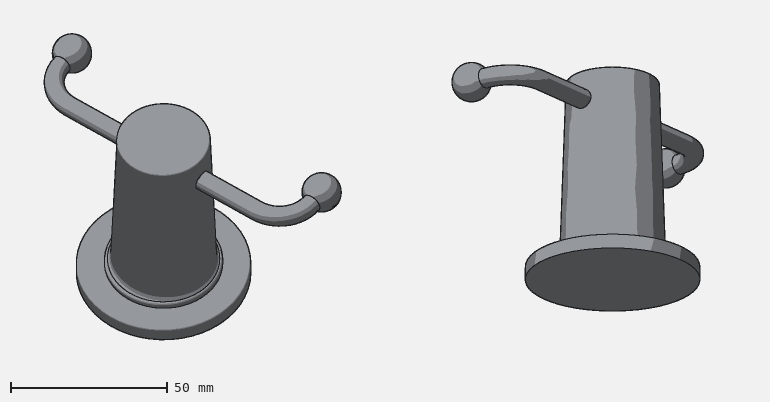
import cadquery as cq
import math

base_radius = 28.0
base_height = 5.0
edge_round = 0.8

collar_radius = 19.0
collar_wall_top = 6.0
collar_round = 1.0
collar_shoulder_radius = collar_radius - collar_round
collar_top = collar_wall_top + collar_round

post_bottom_radius = 17.0
post_bottom = 9.1
post_top_radius = 15.0
total_height = 67.5

overall_width = 111.1
ball_radius = 6.3
ball_x = overall_width / 2 - ball_radius
ball_y = 18.2
arm_radius = 3.2
arm_height = 57.5
bend_radius = 12.5
bend_start_x = ball_x - bend_radius

diagonal = math.sqrt(0.5)


def make_base():
    plate = cq.Workplane("XY").circle(base_radius).extrude(base_height)
    return plate.faces(">Z").edges().fillet(edge_round)


def make_post():
    """Revolve the collar, its concave neck and the tapered post."""
    round_middle = (
        collar_shoulder_radius + collar_round * diagonal,
        collar_wall_top + collar_round * diagonal,
    )
    profile = (
        cq.Workplane("XZ")
        .moveTo(0, total_height)
        .lineTo(post_top_radius, total_height)
        .lineTo(post_bottom_radius, post_bottom)
        .tangentArcPoint((collar_shoulder_radius, collar_top), relative=False)
        .threePointArc(round_middle, (collar_radius, collar_wall_top))
        .lineTo(collar_radius, 0)
        .lineTo(0, 0)
        .close()
    )
    post = profile.revolve(360, (0, 0, 0), (0, 1, 0))
    return post.faces(">Z").edges().fillet(edge_round)


def make_arm():
    """Build the +X arm, bent toward +Y and ending in a ball."""
    bend_middle = (
        bend_start_x + bend_radius * diagonal,
        bend_radius * (1 - diagonal),
    )
    path = (
        cq.Workplane("XY", origin=(0, 0, arm_height))
        .lineTo(bend_start_x, 0)
        .threePointArc(bend_middle, (ball_x, bend_radius))
        .lineTo(ball_x, ball_y)
    )
    rod = cq.Workplane("YZ", origin=(0, 0, arm_height)).circle(arm_radius).sweep(path)
    ball = cq.Workplane("XY").sphere(ball_radius).translate((ball_x, ball_y, arm_height))
    return rod.union(ball)


right_arm = make_arm()
left_arm = right_arm.mirror("YZ")
result = make_base().union(make_post()).union(right_arm).union(left_arm)